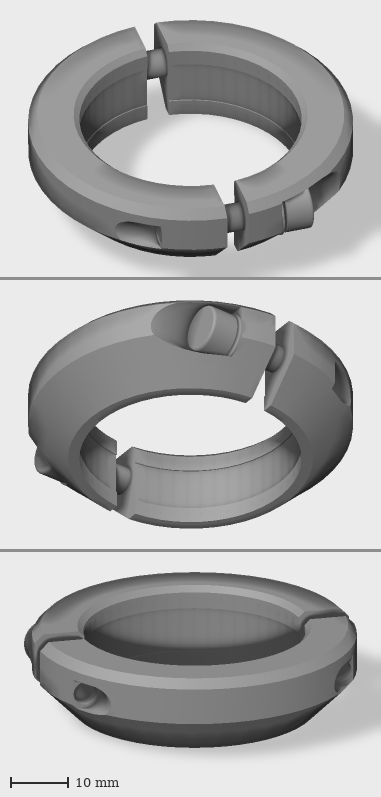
import cadquery as cq
import math

RING_RADIUS = 28.5
RING_HEIGHT = 15.0
SPLIT_GAP = 4.0
TOP_CHAMFER = 1.55
TAPER_HEIGHT = 7.0

BORE_RADIUS = 19.5
BORE_CHAMFER = 1.0
GROOVE_DEPTH = 0.2
GROOVE_BOTTOM = 3.0
GROOVE_TOP = 11.0

SCREW_X = 23.0
SCREW_Z = 9.0
SHANK_RADIUS = 2.5
SHANK_LENGTH = 20.0
HEAD_RADIUS = 4.3
HEAD_HEIGHT = 4.9
HEAD_FILLET = 0.5
HEAD_SEAT_Y = 9.45

WASHER_INNER_RADIUS = 2.75
WASHER_OUTER_RADIUS = 4.55
WASHER_THICKNESS = 0.4
WASHER_RISE = 0.35

HEAD_POCKET_RADIUS = 4.6
HEAD_POCKET_FLOOR_Y = 8.45
CLEARANCE_RADIUS = 2.75
TAP_RADIUS = 2.1
TIP_POCKET_RADIUS = 2.8
TIP_POCKET_FLOOR_Y = -12.95

SCREW_TIP_Y = HEAD_SEAT_Y - SHANK_LENGTH
SIDES = (-1, 1)


def rod(side, radius, start_y, end_y):
    """Cylinder on the screw axis of one side, running between two Y positions."""
    start = cq.Vector(side * SCREW_X, start_y, SCREW_Z)
    direction = cq.Vector(0, math.copysign(1, end_y - start_y), 0)
    return cq.Workplane(cq.Solid.makeCylinder(radius, abs(end_y - start_y), start, direction))


def open_pocket(side, radius, floor_y, end_y):
    """Round-ended slot around one screw axis, open outward along X."""
    length_y = end_y - floor_y
    slot = cq.Workplane("XY").box(RING_RADIUS, abs(length_y), 2 * radius)
    slot = slot.translate((side * (SCREW_X + RING_RADIUS / 2), floor_y + length_y / 2, SCREW_Z))
    return rod(side, radius, floor_y, end_y).union(slot)


def make_ring():
    """Full ring, before it is split: section in the XZ plane turned about Z."""
    groove_radius = BORE_RADIUS + GROOVE_DEPTH
    return (
        cq.Workplane("XZ")
        .moveTo(BORE_RADIUS, 0)
        .lineTo(RING_RADIUS - TAPER_HEIGHT, 0)
        .lineTo(RING_RADIUS, TAPER_HEIGHT)
        .lineTo(RING_RADIUS, RING_HEIGHT - TOP_CHAMFER)
        .lineTo(RING_RADIUS - TOP_CHAMFER, RING_HEIGHT)
        .lineTo(BORE_RADIUS + BORE_CHAMFER, RING_HEIGHT)
        .lineTo(BORE_RADIUS, RING_HEIGHT - BORE_CHAMFER)
        .lineTo(BORE_RADIUS, GROOVE_TOP)
        .lineTo(groove_radius, GROOVE_TOP)
        .lineTo(groove_radius, GROOVE_BOTTOM)
        .lineTo(BORE_RADIUS, GROOVE_BOTTOM)
        .close()
        .revolve(360, (0, 0, 0), (0, 1, 0))
    )


def make_half(direction):
    """Half of the ring on the +Y (direction 1) or -Y (direction -1) side of the gap."""
    keep = cq.Workplane("XY").box(
        2 * RING_RADIUS, RING_RADIUS, RING_HEIGHT, centered=(True, True, False)
    )
    return make_ring().intersect(keep.translate((0, direction * (SPLIT_GAP + RING_RADIUS) / 2, 0)))


def make_head_half():
    """+Y half with clearance holes and open pockets for the screw heads."""
    half = make_half(1)
    for side in SIDES:
        half = half.cut(rod(side, CLEARANCE_RADIUS, 0, HEAD_POCKET_FLOOR_Y))
        half = half.cut(open_pocket(side, HEAD_POCKET_RADIUS, HEAD_POCKET_FLOOR_Y, RING_RADIUS))
    return half


def make_threaded_half():
    """-Y half with screw holes that open into slots in the outer wall."""
    half = make_half(-1)
    for side in SIDES:
        half = half.cut(rod(side, SHANK_RADIUS, 0, SCREW_TIP_Y))
        half = half.cut(rod(side, TAP_RADIUS, SCREW_TIP_Y, TIP_POCKET_FLOOR_Y))
        half = half.cut(
            open_pocket(side, TIP_POCKET_RADIUS, TIP_POCKET_FLOOR_Y, -RING_RADIUS)
        )
    return half


def make_screw(side):
    """Cap screw: plain shank and a cylindrical head with a rounded top edge."""
    head = rod(side, HEAD_RADIUS, HEAD_SEAT_Y, HEAD_SEAT_Y + HEAD_HEIGHT)
    head = head.faces(">Y").edges().fillet(HEAD_FILLET)
    return head.union(rod(side, SHANK_RADIUS, SCREW_TIP_Y, HEAD_SEAT_Y))


def make_washer(side):
    """Conical washer resting on the pocket floor by its rim, rising toward the head."""
    rim_y = HEAD_POCKET_FLOOR_Y
    inner_y = rim_y + WASHER_RISE
    return (
        cq.Workplane("XY")
        .moveTo(WASHER_INNER_RADIUS, inner_y)
        .lineTo(WASHER_OUTER_RADIUS, rim_y)
        .lineTo(WASHER_OUTER_RADIUS, rim_y + WASHER_THICKNESS)
        .lineTo(WASHER_INNER_RADIUS, inner_y + WASHER_THICKNESS)
        .close()
        .revolve(360, (0, 0, 0), (0, 1, 0))
        .translate((side * SCREW_X, 0, SCREW_Z))
    )


head_half = make_head_half()
threaded_half = make_threaded_half()
screws = [make_screw(side) for side in SIDES]
washers = [make_washer(side) for side in SIDES]

result = cq.Compound.makeCompound(
    [body.val() for body in (head_half, threaded_half, *screws, *washers)]
)